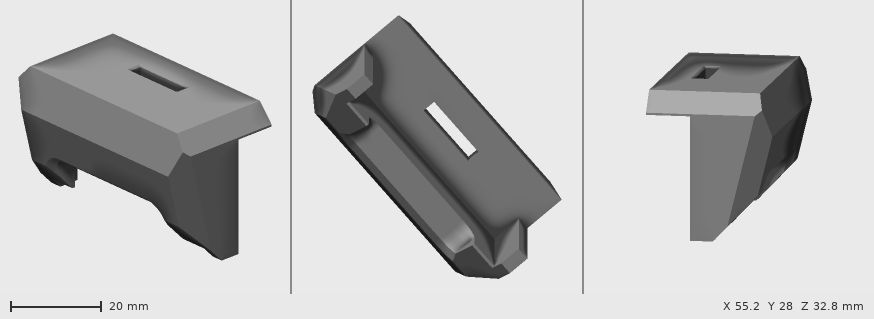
import cadquery as cq

width = 55.0
depth = 27.6
height = 32.8
twist_angle = 0.4

top_front_y = 2.75
peak_drop = 9.65
knee_y = 3.25
knee_drop = 22.9
foot_front_y = 12.65
plate_thickness = 4.95
overhang = 9.9
leg_back_y = depth - overhang

bevel_width = 3.8
top_bevel_drop = 4.45
corner_bevel_depth = 4.5

opening_half_width = 17.8
opening_drop = 20.6
opening_radius = 3.75
opening_chamfer = 1.45

foot_rim_width = 2.9
foot_rim_height = 2.8

recess_depth = 7.05

slot_length = 15.2
slot_width = 3.1
slot_chamfer = 0.45

half_width = width / 2
lower_face_lean = knee_y / (knee_drop - peak_drop)
margin = 5.5


def make_body():
    """Extrude the side profile, with the lower front face running straight to the bottom."""
    outline = [
        (top_front_y, 0),
        (0, -peak_drop),
        ((height - peak_drop) * lower_face_lean, -height),
        (leg_back_y, -height),
        (leg_back_y, -plate_thickness),
        (depth, -plate_thickness),
        (depth, 0),
    ]
    return cq.Workplane("YZ").polyline(outline).close().extrude(half_width, both=True)


def top_bevel_cutter():
    """Wedge that bevels the +X top edge."""
    corner = [
        (half_width - bevel_width, 0),
        (half_width, -top_bevel_drop),
        (half_width + margin, -top_bevel_drop),
        (half_width + margin, margin),
        (half_width - bevel_width, margin),
    ]
    return cq.Workplane("XZ").polyline(corner).close().extrude(-depth)


def corner_bevel_cutter():
    """Wedge that bevels the +X front corner, leaning with the lower front face."""

    def section(drop):
        front_y = (drop - peak_drop) * lower_face_lean
        slope = corner_bevel_depth / bevel_width
        reach = bevel_width + margin
        inner_x = half_width - reach
        outer_x = half_width + margin
        inner_y = front_y - margin * slope
        outer_y = front_y + reach * slope
        return [(inner_x, inner_y, -drop), (outer_x, outer_y, -drop), (outer_x, inner_y, -drop)]

    upper = cq.Wire.makePolygon([cq.Vector(*p) for p in section(-margin)], close=True)
    lower = cq.Wire.makePolygon([cq.Vector(*p) for p in section(height + margin)], close=True)
    return cq.Workplane(cq.Solid.makeLoft([upper, lower], True))


def opening_cutter():
    """Open-bottomed block with rounded top corners that cuts the arch."""
    bottom = -height - margin
    return (
        cq.Workplane("XY", origin=(0, depth / 2, bottom))
        .rect(2 * opening_half_width, 2 * depth)
        .extrude(-opening_drop - bottom)
        .edges("|Y and >Z")
        .fillet(opening_radius)
    )


def chamfer_opening(part):
    """Chamfer the front rim of the arch, all around."""
    clearance = 0.55
    side_x = opening_half_width + clearance
    back_y = (height - peak_drop) * lower_face_lean
    front_rim = cq.selectors.BoxSelector((-side_x, 0, -height), (side_x, back_y, -opening_drop + clearance))
    return part.edges(front_rim).edges("not(<Z)").chamfer(opening_chamfer)


def knee_cutter():
    """Wedge that slopes the front of the feet back below the knee."""
    wedge = [(knee_y, -knee_drop), (foot_front_y, -height), (-margin, -height), (-margin, -knee_drop)]
    return cq.Workplane("YZ").polyline(wedge).close().extrude(width, both=True)


def back_recess_cutter():
    """Block that thins the legs from behind, up to the plate."""
    return (
        cq.Workplane("XY", origin=(0, leg_back_y, -height))
        .rect(width - 2 * foot_rim_width, 2 * recess_depth)
        .extrude(height - plate_thickness)
    )


def foot_step_cutter():
    """Block that raises the feet between their outer rims."""
    return (
        cq.Workplane("XY", origin=(0, 0, -height))
        .rect(width - 2 * foot_rim_width, 2 * depth)
        .extrude(foot_rim_height)
    )


def slot_cutter():
    """Rectangular slot with a chamfered mouth at the top."""
    centre = (0, leg_back_y + slot_width / 2)
    slot = cq.Workplane("XY").center(*centre).rect(slot_length, slot_width).extrude(-plate_thickness)
    mouth = (
        cq.Workplane("XY", origin=(0, 0, -slot_chamfer))
        .center(*centre)
        .rect(slot_length, slot_width)
        .extrude(slot_chamfer, taper=-45)
    )
    return slot.union(mouth)


body = chamfer_opening(make_body().cut(opening_cutter()))
for cutter in (knee_cutter(), foot_step_cutter(), back_recess_cutter(), slot_cutter()):
    body = body.cut(cutter)
for bevel in (top_bevel_cutter(), corner_bevel_cutter()):
    body = body.cut(bevel).cut(bevel.mirror("YZ"))

result = body.translate((0, -depth / 2, height / 2)).rotate((0, 0, 0), (0, 0, 1), twist_angle)